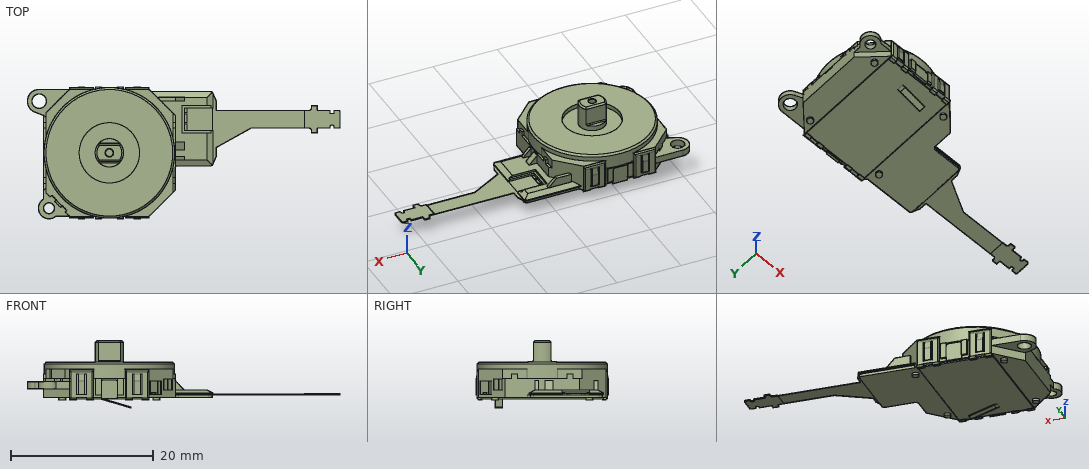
import cadquery as cq
import math

FOOT_BOTTOM = -0.1
BOX_BOTTOM = 0.2
BOX_TOP = 2.9
FLANGE_TOP = 4.25
LID_TOP = 5.2
STICK_TOP = 8.25

BOX_HALF_X = 9.3
CASE_HALF = 8.95
CORNER_SUM = 14.55
PLATE_HALF_X = 5.6
PLATE_HALF_Y = 8.6
LARGE_EAR_ANGLE = 135
SMALL_EAR_ANGLE = 225
POCKET_ANGLE = 315
EMBED = 0.1
PEG_DIAMETER = 1.0
PEG_OFFSET = 6.63
PEG_BOTTOM = -0.13
TAB_LENGTH = 0.8
TAB_CENTER_Y = 3.9
TAB_TOP = 3.55
FLANGE_NOTCH_LENGTH = 3.0
FLANGE_NOTCH_DEPTH = 0.28
CORNER_GAP_DEPTH = 0.4
CORNER_GAP_LENGTH = 5.6
CORNER_TAB_LENGTH = 1.2

CORNER_POCKETS = [
    (-2.1, -0.53, 0.1, 0.65, 2.55),
    (-1.66, -0.9, 0.25, 0.7, 0.95),
    (-0.53, 0.09, 0.2, 0.65, 2.55),
    (0.62, 1.49, 0.1, 1.3, 2.87),
    (1.49, 2.28, 0.2, 1.3, 2.87),
]

LID_DIAMETER = 18.4
LID_EDGE = 0.28
LID_HOLE_DIAMETER = 8.5
LID_HOLE_DEPTH = 0.65
LID_FLOOR = LID_TOP - LID_HOLE_DEPTH

STICK_DIAMETER = 4.0
STICK_ACROSS_FLATS = 2.5
STICK_SHOULDER = 5.3
STICK_CHAMFER = 0.25
STICK_HOLE_DIAMETER = 1.05
STICK_HOLE_MOUTH = 1.2
STICK_FOOT_CHAMFER = 0.15
STICK_HOLE_DEPTH = 1.5

EAR_BOTTOM = 1.45
EAR_TOP = 2.47
LARGE_EAR = (-9.88, 7.27)
LARGE_EAR_RADIUS = 1.67
LARGE_EAR_HOLE = 2.0
SMALL_EAR = (-8.5, -7.8)
SMALL_EAR_RADIUS = 1.5
SMALL_EAR_HOLE = 1.5
EAR_TANGENT_ANGLE = 250.0

CLIP_CENTER_X = 3.92
CLIP_WIDTH = 3.35
CLIP_LEG_WIDTH = 1.0
CLIP_FACE = 9.2
CLIP_SHOULDER = 3.75
CLIP_TOP_BEND = (0.08, 0.25)
CLIP_TOP_RISE = 0.45
CLIP_EDGE_CHAMFER = 0.2
CLIP_WINDOW_BOTTOM = 0.65
CLIP_WINDOW_TOP = 3.55
CLIP_FOOT_DEPTH = 0.75
CLIP_FOOT_CHAMFER = 0.25
FINGER_WIDTH = 0.9
FINGER_FACE = 9.3
FINGER_STEP = 2.54
PANEL_HALF_WIDTH = 1.14
PANEL_BOTTOM = 0.1
PANEL_TOP = 2.7
PANEL_CORNER = 0.2
RIB_OUTER_X = 1.97
RIB_BOTTOM = 0.62

SHELF_END = 14.62
SHELF_Y = (-1.86, 8.65)
SHELF_TOP = 1.3
SHELF_SLOPE_WIDTH = 0.85
SHELF_SLOPE_DROP = 0.45
SHELF_CORNER = 0.3
BASE_END = 14.5
BASE_INSET = 0.2
BASE_CORNER = 0.45
SLOT_START = 10.2
SLOT_Y = (2.8, 6.65)
SLOT_LEDGE = 0.35
SLOT_LEDGE_DROP = 0.3
SLIT_WIDTH = 0.4
SLIT_BRIDGE_WIDTH = 0.2
SLIT_BRIDGES_Y = (4.15, 5.6)
GUSSET_END = 10.55
GUSSET_TOP = 2.6
GUSSET_ROOT = 7.0
GUSSETS_Y = [(-1.03, -0.5), (0.41, 1.5), (7.31, 7.84)]

RIBBON_BOTTOM = 0.6
RIBBON_THICKNESS = 0.1
RIBBON_TOP = RIBBON_BOTTOM + RIBBON_THICKNESS
RIBBON_ROOT_INSET = 0.1
RIBBON_ROOT_END = 15.08
RIBBON_ROOT_CORNER = (0.55, 1.3)
RIBBON_Y = (3.46, 5.99)
RIBBON_FLARE_Y = 0.75
RIBBON_FLARE_END = 19.95
CABLE_END = 32.5
STIFFENER_START = 27.5
STIFFENER_TOP = 0.8
LUG_X = (28.45, 29.3)
LUG_LENGTH = 0.65
LUG_FILLET = 0.3
GRIP_NOTCH_X = 31.35
GRIP_NOTCH_WIDTH = 0.5
GRIP_NOTCH_DEPTH = 0.45
GRIP_NOTCH_ROUNDING = 0.22
CABLE_END_CORNER = 0.2

LEAF_START = (-1.17, 0.0)
LEAF_TIP = (3.03, -1.25)
LEAF_THICKNESS = 0.15
LEAF_CENTER_Y = -6.1
LEAF_WIDTH = 1.05


def box(x0, x1, y0, y1, z0, z1):
    return cq.Workplane("XY").box(x1 - x0, y1 - y0, z1 - z0, centered=False).translate((x0, y0, z0))


def cylinder(x, y, diameter, z0, z1):
    return cq.Workplane("XY", origin=(x, y, z0)).circle(diameter / 2).extrude(z1 - z0)


def prism(points, z0, z1):
    return cq.Workplane("XY", origin=(0, 0, z0)).polyline(points).close().extrude(z1 - z0)


def octagon(half_x, half_y, corner_sum, z0, z1):
    """Rectangle with 45 degree corners where |x| + |y| = corner_sum."""
    side_y = corner_sum - half_x
    end_x = corner_sum - half_y
    quarter = [(half_x, side_y), (end_x, half_y)]
    points = quarter + [(-x, y) for x, y in reversed(quarter)]
    points += [(-x, -y) for x, y in points]
    return prism(points, z0, z1)


def corner_block(angle, along0, along1, depth, z0, z1):
    """Block sunk from a 45 degree corner face; 'along' runs counter-clockwise on the face."""
    reach = CORNER_SUM / math.sqrt(2)
    block = box(reach - depth, reach + EMBED, along0, along1, z0, z1)
    return block.rotate((0, 0, 0), (0, 0, 1), angle)


def mirrored_y(shape):
    return shape.union(shape.mirror("XZ"))


def make_casing():
    """Octagonal box and flange with a base plate, side tabs and locating pegs."""
    case = octagon(BOX_HALF_X, CASE_HALF, CORNER_SUM, BOX_BOTTOM, BOX_TOP)
    case = case.union(octagon(CASE_HALF, CASE_HALF, CORNER_SUM, BOX_TOP, FLANGE_TOP))
    case = case.union(box(-PLATE_HALF_X, PLATE_HALF_X, -PLATE_HALF_Y, PLATE_HALF_Y, 0, BOX_BOTTOM))
    for side in (-1, 1):
        x0, x1 = sorted((side * BOX_HALF_X, side * (CASE_HALF - EMBED)))
        for y in (-TAB_CENTER_Y, TAB_CENTER_Y):
            case = case.union(box(x0, x1, y - TAB_LENGTH / 2, y + TAB_LENGTH / 2, BOX_TOP - EMBED, TAB_TOP))
        for y in (-PEG_OFFSET, PEG_OFFSET):
            case = case.union(cylinder(side * PEG_OFFSET, y, PEG_DIAMETER, PEG_BOTTOM, BOX_BOTTOM))
    return case


def cut_corners(case):
    half_gap = CORNER_GAP_LENGTH / 2
    half_tab = CORNER_TAB_LENGTH / 2
    half_notch = FLANGE_NOTCH_LENGTH / 2
    for angle in (LARGE_EAR_ANGLE, SMALL_EAR_ANGLE):
        for along0, along1 in ((-half_gap, -half_tab), (half_tab, half_gap)):
            case = case.cut(corner_block(angle, along0, along1, CORNER_GAP_DEPTH, EAR_TOP, BOX_TOP))
    notch = corner_block(SMALL_EAR_ANGLE, -half_notch, half_notch, FLANGE_NOTCH_DEPTH, BOX_TOP, FLANGE_TOP)
    case = case.cut(notch)
    for along0, along1, depth, z0, z1 in CORNER_POCKETS:
        case = case.cut(corner_block(POCKET_ANGLE, along0, along1, depth, z0, z1))
    return case


def make_lid():
    lid = cylinder(0, 0, LID_DIAMETER, BOX_TOP, LID_TOP)
    return lid.faces(">Z").edges().chamfer(LID_EDGE)


def make_ears():
    """Two flat ears on the -X corners, each a round end joined to the casing by a web."""
    side_y = CORNER_SUM - BOX_HALF_X
    end_x = CORNER_SUM - CASE_HALF
    root = (-end_x, 0)

    x, y = LARGE_EAR
    lower_angle = math.radians(EAR_TANGENT_ANGLE)
    lower_point = (x + LARGE_EAR_RADIUS * math.cos(lower_angle), y + LARGE_EAR_RADIUS * math.sin(lower_angle))
    web = [(x, y + LARGE_EAR_RADIUS), (x, y), lower_point, (-BOX_HALF_X, side_y), root, (-end_x, CASE_HALF)]
    large = prism(web, EAR_BOTTOM, EAR_TOP)
    large = large.union(cylinder(x, y, 2 * LARGE_EAR_RADIUS, EAR_BOTTOM, EAR_TOP))
    large = large.cut(cylinder(x, y, LARGE_EAR_HOLE, EAR_BOTTOM, EAR_TOP))

    x, y = SMALL_EAR
    upper_y = y + math.sqrt(SMALL_EAR_RADIUS**2 - (x + BOX_HALF_X) ** 2)
    right_x = x + math.sqrt(SMALL_EAR_RADIUS**2 - (y + CASE_HALF) ** 2)
    web = [(-BOX_HALF_X, upper_y), (x, y), (right_x, -CASE_HALF), (-end_x, -CASE_HALF), root]
    web.append((-BOX_HALF_X, -side_y))
    small = prism(web, EAR_BOTTOM, EAR_TOP)
    small = small.union(cylinder(x, y, 2 * SMALL_EAR_RADIUS, EAR_BOTTOM, EAR_TOP))
    small = small.cut(cylinder(x, y, SMALL_EAR_HOLE, EAR_BOTTOM, EAR_TOP))
    return large.union(small)


def make_clip(center_x):
    """Sheet clip on the -Y side: two legs with feet, a sloped top and a spring finger between."""
    x0 = center_x - CLIP_WIDTH / 2
    x1 = center_x + CLIP_WIDTH / 2
    inner = CASE_HALF - EMBED
    top = CLIP_SHOULDER + CLIP_TOP_RISE
    bend_in, bend_up = CLIP_TOP_BEND
    profile = [
        (-inner, BOX_BOTTOM),
        (-CLIP_FACE, BOX_BOTTOM),
        (-CLIP_FACE, CLIP_SHOULDER),
        (bend_in - CLIP_FACE, CLIP_SHOULDER + bend_up),
        (-CASE_HALF, top),
        (-inner, top),
    ]
    clip = cq.Workplane("YZ", origin=(x0, 0, 0)).polyline(profile).close().extrude(x1 - x0)
    clip = clip.edges("|Z and <Y").chamfer(CLIP_EDGE_CHAMFER)
    window0 = x0 + CLIP_LEG_WIDTH
    window1 = x1 - CLIP_LEG_WIDTH
    window = box(window0, window1, -CLIP_FACE, -CASE_HALF, CLIP_WINDOW_BOTTOM, CLIP_WINDOW_TOP)
    clip = clip.cut(window)

    finger_profile = [
        (-inner, CLIP_WINDOW_BOTTOM),
        (-FINGER_FACE, CLIP_WINDOW_BOTTOM),
        (-FINGER_FACE, FINGER_STEP),
        (-CLIP_FACE, CLIP_WINDOW_TOP),
        (-inner, CLIP_WINDOW_TOP),
    ]
    finger_plane = cq.Workplane("YZ", origin=(center_x - FINGER_WIDTH / 2, 0, 0))
    clip = clip.union(finger_plane.polyline(finger_profile).close().extrude(FINGER_WIDTH))

    for leg_x in (x0, window1):
        foot_inner = CLIP_FOOT_DEPTH - CLIP_FACE
        foot = box(leg_x, leg_x + CLIP_LEG_WIDTH, -CLIP_FACE, foot_inner, FOOT_BOTTOM, BOX_BOTTOM)
        foot = foot.faces("<Z").edges("<Y").chamfer(CLIP_FOOT_CHAMFER)
        clip = clip.union(foot)
    return clip


def make_side_parts():
    """Clips, centre panel and ribs of both long sides."""
    inner = -CASE_HALF + EMBED
    side = box(-PANEL_HALF_WIDTH, PANEL_HALF_WIDTH, -CLIP_FACE, inner, PANEL_BOTTOM, PANEL_TOP)
    side = side.faces(">Z").edges("|Y").chamfer(PANEL_CORNER)
    side = side.union(box(-RIB_OUTER_X, -PANEL_HALF_WIDTH, -FINGER_FACE, inner, RIB_BOTTOM, BOX_TOP))
    side = side.union(box(PANEL_HALF_WIDTH, RIB_OUTER_X, -FINGER_FACE, inner, RIB_BOTTOM, BOX_TOP))
    for center_x in (-CLIP_CENTER_X, CLIP_CENTER_X):
        side = side.union(make_clip(center_x))
    return mirrored_y(side)


def make_shelf():
    """Cable shelf with sloped borders and an open slot for the cable."""
    y0, y1 = SHELF_Y
    shelf = box(0, SHELF_END, y0, y1, RIBBON_TOP, SHELF_TOP)
    borders = shelf.faces(">Z").edges(">X or >Y or <Y")
    shelf = borders.chamfer(SHELF_SLOPE_DROP, SHELF_SLOPE_WIDTH)
    shelf = shelf.edges("|Z and >X").chamfer(SHELF_CORNER)
    slot_y0, slot_y1 = SLOT_Y
    shelf = shelf.cut(box(SLOT_START, SHELF_END, slot_y0, slot_y1, SHELF_TOP - SLOT_LEDGE_DROP, SHELF_TOP))
    inner_x = SLOT_START + SLOT_LEDGE
    shelf = shelf.cut(
        box(inner_x, SHELF_END, slot_y0 + SLOT_LEDGE, slot_y1 - SLOT_LEDGE, RIBBON_TOP, SHELF_TOP)
    )
    return shelf.union(make_shelf_base()).union(make_gussets())


def make_shelf_base():
    """Layer under the cable: rounded at its free corners, blended into the casing wall."""
    y0 = SHELF_Y[0] + BASE_INSET
    y1 = SHELF_Y[1] - BASE_INSET
    base = box(0, BASE_END, y0, y1, BOX_BOTTOM, RIBBON_BOTTOM)
    base = base.edges("|Z and >X").fillet(BASE_CORNER)
    wall = BOX_HALF_X
    blend = box(wall, wall + BASE_CORNER, y0 - BASE_CORNER, y0, BOX_BOTTOM, RIBBON_BOTTOM)
    blend_cut = cylinder(wall + BASE_CORNER, y0 - BASE_CORNER, 2 * BASE_CORNER, BOX_BOTTOM, RIBBON_BOTTOM)
    return base.union(blend.cut(blend_cut))


def make_gussets():
    """Triangular ribs from the casing wall down to the shelf."""
    gussets = cq.Workplane("XY")
    for gusset_y0, gusset_y1 in GUSSETS_Y:
        triangle = [
            (GUSSET_ROOT, SHELF_TOP),
            (GUSSET_END, SHELF_TOP),
            (BOX_HALF_X, GUSSET_TOP),
            (GUSSET_ROOT, GUSSET_TOP),
        ]
        plane = cq.Workplane("XZ", origin=(0, gusset_y1, 0))
        gussets = gussets.add(plane.polyline(triangle).close().extrude(gusset_y1 - gusset_y0))
    return gussets.combine()


def make_ribbon():
    """Flat cable: wide root inside the shelf, flared strip and stiffened end with lugs."""
    y0 = SHELF_Y[0] + RIBBON_ROOT_INSET
    y1 = SHELF_Y[1] - RIBBON_ROOT_INSET
    strip_y0, strip_y1 = RIBBON_Y
    corner_x, corner_y = RIBBON_ROOT_CORNER
    root = prism(
        [
            (0, y0),
            (RIBBON_ROOT_END - corner_x, y0),
            (RIBBON_ROOT_END, y0 + corner_y),
            (RIBBON_ROOT_END, RIBBON_FLARE_Y),
            (RIBBON_FLARE_END, strip_y0),
            (STIFFENER_START, strip_y0),
            (STIFFENER_START, strip_y1),
            (RIBBON_ROOT_END, strip_y1),
            (RIBBON_ROOT_END, y1 - corner_y),
            (RIBBON_ROOT_END - corner_x, y1),
            (0, y1),
        ],
        RIBBON_BOTTOM,
        RIBBON_TOP,
    )
    end = box(STIFFENER_START, CABLE_END, strip_y0, strip_y1, RIBBON_BOTTOM, STIFFENER_TOP)
    end = end.edges("|Z and >X").fillet(CABLE_END_CORNER)
    lug_x0, lug_x1 = LUG_X
    lugs = box(lug_x0, lug_x1, strip_y0 - LUG_LENGTH, strip_y1 + LUG_LENGTH, RIBBON_BOTTOM, STIFFENER_TOP)
    end = end.union(lugs)
    middle_z = (RIBBON_BOTTOM + STIFFENER_TOP) / 2
    for lug_root_y in (strip_y0, strip_y1):
        root_edge = cq.selectors.NearestToPointSelector((lug_x0, lug_root_y, middle_z))
        end = end.edges(root_edge).fillet(LUG_FILLET)
    notch_x0 = GRIP_NOTCH_X - GRIP_NOTCH_WIDTH / 2
    notch_x1 = GRIP_NOTCH_X + GRIP_NOTCH_WIDTH / 2
    upper_notch = box(notch_x0, notch_x1, strip_y1 - GRIP_NOTCH_DEPTH, strip_y1, RIBBON_BOTTOM, STIFFENER_TOP)
    lower_notch = box(notch_x0, notch_x1, strip_y0, strip_y0 + GRIP_NOTCH_DEPTH, RIBBON_BOTTOM, STIFFENER_TOP)
    lower_notch = lower_notch.edges("|Z and >Y").fillet(GRIP_NOTCH_ROUNDING)
    end = end.cut(upper_notch).cut(lower_notch)
    return root.cut(make_slit()).union(end)


def make_slit():
    """Opening through the cable at the end of the shelf slot, crossed by two bridges."""
    x0 = SLOT_START + SLOT_LEDGE
    x1 = x0 + SLIT_WIDTH
    slit = box(x0, x1, SLOT_Y[0] + SLOT_LEDGE, SLOT_Y[1] - SLOT_LEDGE, RIBBON_BOTTOM, RIBBON_TOP)
    half = SLIT_BRIDGE_WIDTH / 2
    for y in SLIT_BRIDGES_Y:
        slit = slit.cut(box(x0, x1, y - half, y + half, RIBBON_BOTTOM, RIBBON_TOP))
    return slit


def make_leaf_spring():
    """Thin leaf sloping down from the base plate towards +X."""
    (x0, z0), (x1, z1) = LEAF_START, LEAF_TIP
    length = math.hypot(x1 - x0, z1 - z0)
    rise_x = LEAF_THICKNESS * (z0 - z1) / length
    rise_z = LEAF_THICKNESS * (x1 - x0) / length
    profile = [(x0, z0), (x1, z1), (x1 + rise_x, z1 + rise_z), (x0 + rise_x, z0 + rise_z)]
    plane = cq.Workplane("XZ", origin=(0, LEAF_CENTER_Y + LEAF_WIDTH / 2, 0))
    return plane.polyline(profile).close().extrude(LEAF_WIDTH)


def make_housing():
    housing = cut_corners(make_casing().union(make_shelf()).union(make_ribbon()))
    housing = housing.union(make_ears()).union(make_side_parts()).union(make_lid())
    housing = housing.union(make_leaf_spring())
    return housing.cut(cylinder(0, 0, LID_HOLE_DIAMETER, LID_FLOOR, LID_TOP))


def make_stick():
    """Round post with two flats above its shoulder and a blind hole in its top."""
    shoulder = cylinder(0, 0, STICK_DIAMETER, LID_FLOOR, STICK_SHOULDER)
    half_flats = STICK_ACROSS_FLATS / 2
    half_foot = half_flats + STICK_FOOT_CHAMFER
    foot_top = STICK_SHOULDER + STICK_FOOT_CHAMFER
    side = [(half_foot, STICK_SHOULDER), (half_flats, foot_top), (half_flats, STICK_TOP)]
    profile = side + [(-y, z) for y, z in reversed(side)]
    slab = cq.Workplane("YZ").polyline(profile).close().extrude(STICK_DIAMETER / 2, both=True)
    shaft = cylinder(0, 0, STICK_DIAMETER, STICK_SHOULDER, STICK_TOP).intersect(slab)
    shaft = shaft.faces(">Z").edges().chamfer(STICK_CHAMFER)
    stick = shoulder.union(shaft)
    stick = stick.cut(cylinder(0, 0, STICK_HOLE_DIAMETER, STICK_TOP - STICK_HOLE_DEPTH, STICK_TOP))
    mouth_edge = stick.faces(">Z").edges(cq.selectors.RadiusNthSelector(0))
    return mouth_edge.chamfer((STICK_HOLE_MOUTH - STICK_HOLE_DIAMETER) / 2)


housing = make_housing()
stick = make_stick()

result = cq.Compound.makeCompound([housing.val(), stick.val()])